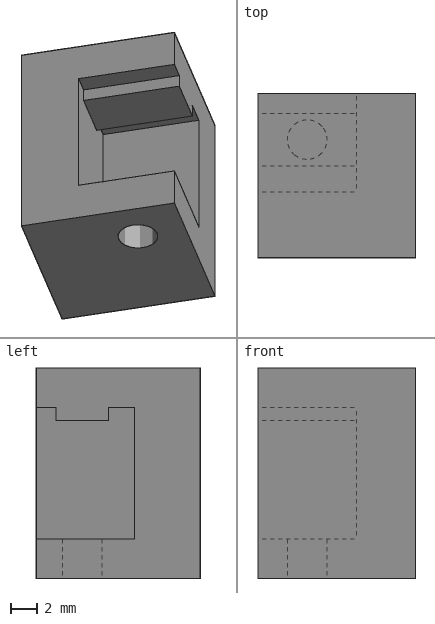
import cadquery as cq

width = 12.0
depth = 12.5
height = 16.0

floor_thickness = 3.0
roof_thickness = 3.0
back_thickness = 5.0
side_wall_thickness = 4.5
pocket_width = width - side_wall_thickness
pocket_depth = depth - back_thickness
pocket_height = height - floor_thickness - roof_thickness

rib_depth = 4.0
rib_drop = 1.0
rib_edge_gap = 1.5

hole_diameter = 3.0
hole_x = pocket_width / 2
hole_y = depth - rib_edge_gap - rib_depth / 2


def corner_box(size, corner):
    """Box of the given size, placed by its lowest corner."""
    return cq.Workplane("XY").box(*size, centered=False).translate(corner)


block = corner_box((width, depth, height), (0, 0, 0))

pocket = corner_box(
    (pocket_width, pocket_depth, pocket_height),
    (0, back_thickness, floor_thickness),
)

rib = corner_box(
    (pocket_width, rib_depth, rib_drop),
    (0, depth - rib_edge_gap - rib_depth, height - roof_thickness - rib_drop),
)

floor_hole = (
    cq.Workplane("XY")
    .center(hole_x, hole_y)
    .circle(hole_diameter / 2)
    .extrude(floor_thickness)
)

result = block.cut(pocket).union(rib).cut(floor_hole)